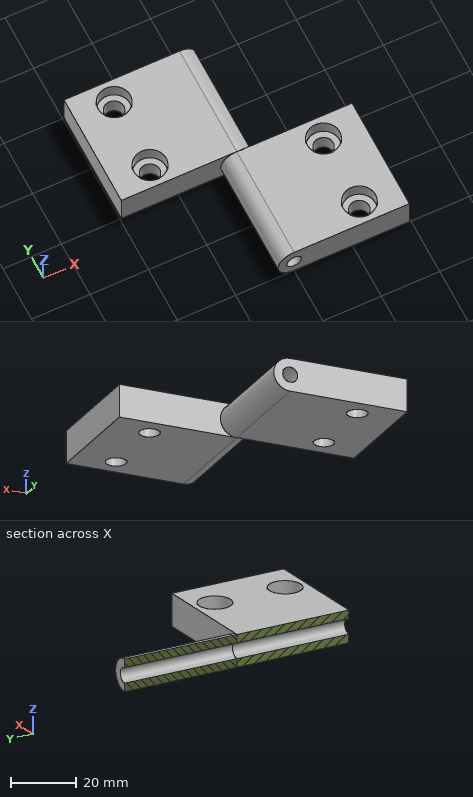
import cadquery as cq

thickness = 11.0
leaf_reach = 39.5
leaf_length = 40.0
knuckle_radius = thickness / 2

pivot_diameter = 5.0

screw_diameter = 6.6
screw_head_diameter = 11.0
screw_head_depth = 5.0
screw_offset = 26.0
screw_spacing = 25.0


def make_leaf(side, y_start):
    """One hinge leaf: side is +1 or -1 along X, y_start is its lower Y end."""
    y_middle = y_start + leaf_length / 2

    leaf = (
        cq.Workplane("XZ", origin=(0, y_start, 0))
        .moveTo(0, -knuckle_radius)
        .lineTo(side * leaf_reach, -knuckle_radius)
        .lineTo(side * leaf_reach, knuckle_radius)
        .lineTo(0, knuckle_radius)
        .threePointArc((-side * knuckle_radius, 0), (0, -knuckle_radius))
        .close()
        .extrude(-leaf_length)
    )

    pivot_bore = (
        cq.Workplane("XZ", origin=(0, y_start, 0))
        .circle(pivot_diameter / 2)
        .extrude(-leaf_length)
    )
    leaf = leaf.cut(pivot_bore)

    screw_points = [
        (side * screw_offset, y_middle - screw_spacing / 2),
        (side * screw_offset, y_middle + screw_spacing / 2),
    ]
    top_face = cq.Workplane("XY", origin=(0, 0, knuckle_radius)).pushPoints(screw_points)
    screw_holes = top_face.circle(screw_diameter / 2).extrude(-thickness)
    head_recesses = top_face.circle(screw_head_diameter / 2).extrude(-screw_head_depth)
    return leaf.cut(screw_holes).cut(head_recesses)


right_leaf = make_leaf(1, -leaf_length)
left_leaf = make_leaf(-1, 0)

result = cq.Compound.makeCompound([right_leaf.val(), left_leaf.val()])